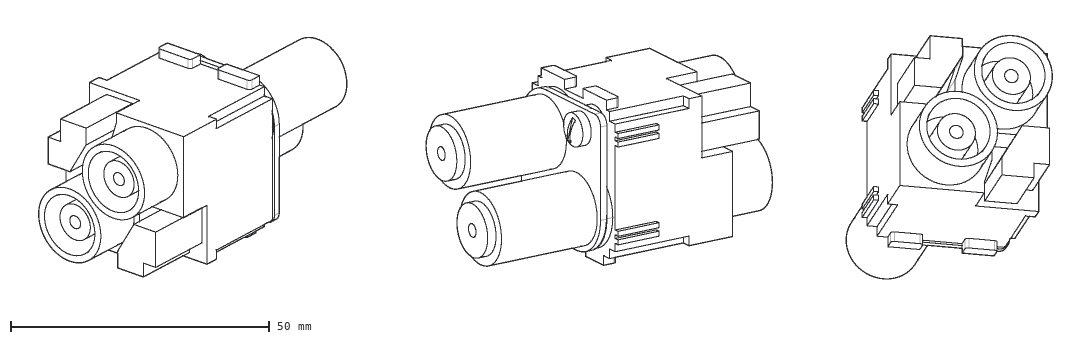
import cadquery as cq


KEY_FRONT = 3.15
BODY_FRONT = 10.15
RECESS_FLOOR = 17.3
NOTCH_FRONT = 20.2
RIB_FRONT = 27.75
TAB_FRONT = 34.2
BODY_BACK = 37.25
PLATE_FRONT = 38.7
PLATE_BACK = 40.2
TUBE_BACK = 62.3
LENGTH = 64.2

BODY_WIDTH = 29.35
BODY_HEIGHT = 30.05
TOTAL_WIDTH = 30.3
TOTAL_HEIGHT = 34.0
RIB_HEIGHT = TOTAL_WIDTH - BODY_WIDTH
TAB_HEIGHT = (TOTAL_HEIGHT - BODY_HEIGHT) / 2
NOTCH_SIZE = 2.0

RIB_WIDTH = 1.0
RIB_CENTERS = (9.1, 10.85)

TAB_CENTER = 7.4
TOP_TAB_WIDTH = 8.3
BOTTOM_TAB_WIDTH = 6.35
TAB_FILLET = 0.65

POLE_X = 5.45
POLE_Z = 6.3
SOCKET_RADIUS = 7.8
SOCKET_BORE_RADIUS = 6.3
PIN_RADIUS = 3.8
PIN_HOLE_RADIUS = 1.35
PIN_FRONT = 1.7
SOCKET_FLOOR = BODY_FRONT
TUBE_RADIUS = 7.4
TUBE_END_RADIUS = 5.45

PLATE_POLE_RADIUS = 8.55
PLATE_CORNER_RADIUS = 2.05
POLE_SPACER_RADIUS = 8.35
SCREW_X = 7.3
SCREW_Z = 10.65
SCREW_SPACER_RADIUS = 4.2
SCREW_RADIUS = 3.4
SCREW_RIM_HEIGHT = 1.9
SCREW_DOME_HEIGHT = 0.95
SLOT_WIDTH = 1.0
SLOT_DEPTH = 0.6
SLOT_ANGLE = 18

RECESS_TOP_X = -2.1
RECESS_SIDE_X = -3.65
RECESS_BOTTOM_Z = 2.4
RECESS_OUTLINE = [
    (-BODY_WIDTH / 2, BODY_HEIGHT / 2),
    (RECESS_TOP_X, BODY_HEIGHT / 2),
    (RECESS_TOP_X, 12.85),
    (RECESS_SIDE_X, 7.95),
    (RECESS_SIDE_X, RECESS_BOTTOM_Z),
    (-BODY_WIDTH / 2, RECESS_BOTTOM_Z),
]

KEY_LEFT = -13.4
KEY_STEP_X = -10.35
KEY_RIGHT = -3.9
KEY_TOP = 13.8
KEY_BOTTOM = 3.2
KEY_SLOPE_X = -7.95
KEY_SLOPE_Z = 10.2
UPPER_KEY_STEP_Z = 9.0
LOWER_KEY_STEP_Z = 10.8


def section(y):
    """Sketch plane facing -Y at station y; its local axes are X and Z."""
    return cq.Workplane("XZ", origin=(0, y, 0))


def cylinder(x, z, radius, y_start, y_end):
    return section(y_start).center(x, z).circle(radius).extrude(y_start - y_end)


def prism(outline, y_start, y_end):
    return section(y_start).polyline(outline).close().extrude(y_start - y_end)


def box(x_range, y_range, z_range):
    size = [end - start for start, end in (x_range, y_range, z_range)]
    corner = (x_range[0], y_range[0], z_range[0])
    return cq.Workplane("XY").box(*size, centered=False).translate(corner)


def turned(shape):
    """The shape turned half round the Y axis."""
    return shape.rotate((0, 0, 0), (0, 1, 0), 180)


def half_turn(shape):
    """The shape together with its copy turned half round the Y axis."""
    return shape.union(turned(shape))


def body():
    block = section(BODY_FRONT).rect(BODY_WIDTH, BODY_HEIGHT).extrude(BODY_FRONT - BODY_BACK)
    notches = (
        section(NOTCH_FRONT)
        .rect(BODY_WIDTH, BODY_HEIGHT, forConstruction=True)
        .vertices()
        .rect(2 * NOTCH_SIZE, 2 * NOTCH_SIZE)
        .extrude(NOTCH_FRONT - BODY_BACK)
    )
    recess = prism(RECESS_OUTLINE, BODY_FRONT, RECESS_FLOOR)
    return block.cut(notches).cut(half_turn(recess))


def coding_key(step_z):
    outline = [
        (KEY_STEP_X, KEY_TOP),
        (KEY_RIGHT, KEY_TOP),
        (KEY_RIGHT, KEY_SLOPE_Z),
        (KEY_SLOPE_X, KEY_BOTTOM),
        (KEY_LEFT, KEY_BOTTOM),
        (KEY_LEFT, step_z),
        (KEY_STEP_X, step_z),
    ]
    return prism(outline, KEY_FRONT, RECESS_FLOOR)


def coding_keys():
    return coding_key(UPPER_KEY_STEP_Z).union(turned(coding_key(LOWER_KEY_STEP_Z)))


def guide_ribs():
    side = -BODY_WIDTH / 2
    ribs = cq.Workplane("XY")
    for center in RIB_CENTERS:
        for z in (center, -center):
            ribs = ribs.union(
                box(
                    (side - RIB_HEIGHT, side),
                    (RIB_FRONT, BODY_BACK),
                    (z - RIB_WIDTH / 2, z + RIB_WIDTH / 2),
                )
            )
    return ribs


def tab_pair(width, z_range):
    tabs = cq.Workplane("XY")
    for x in (-TAB_CENTER, TAB_CENTER):
        tab = box((x - width / 2, x + width / 2), (TAB_FRONT, BODY_BACK), z_range)
        tabs = tabs.union(tab.faces("<Y").edges("|Z").fillet(TAB_FILLET))
    return tabs


def latch_tabs():
    half = BODY_HEIGHT / 2
    top = tab_pair(TOP_TAB_WIDTH, (half, half + TAB_HEIGHT))
    bottom = tab_pair(BOTTOM_TAB_WIDTH, (-half - TAB_HEIGHT, -half))
    return top.union(bottom)


def pole_cylinders(radius, y_start, y_end):
    return half_turn(cylinder(POLE_X, POLE_Z, radius, y_start, y_end))


def poles():
    sockets = pole_cylinders(SOCKET_RADIUS, 0, BODY_FRONT)
    tubes = pole_cylinders(TUBE_RADIUS, BODY_BACK, TUBE_BACK)
    tube_ends = pole_cylinders(TUBE_END_RADIUS, TUBE_BACK, LENGTH)
    return sockets.union(tubes).union(tube_ends)


def socket_bores():
    bores = pole_cylinders(SOCKET_BORE_RADIUS, 0, SOCKET_FLOOR)
    pins = pole_cylinders(PIN_RADIUS, PIN_FRONT, SOCKET_FLOOR)
    pin_holes = pole_cylinders(PIN_HOLE_RADIUS, 0, LENGTH)
    return bores.cut(pins).union(pin_holes)


def back_plate():
    """Plate rounded about the poles at two corners and more tightly at the screw corners."""
    right = POLE_X + PLATE_POLE_RADIUS
    top = POLE_Z + PLATE_POLE_RADIUS
    plate = section(PLATE_FRONT).rect(2 * right, 2 * top).extrude(PLATE_FRONT - PLATE_BACK)
    corner_radii = {
        (right, top): PLATE_POLE_RADIUS,
        (-right, -top): PLATE_POLE_RADIUS,
        (-right, top): PLATE_CORNER_RADIUS,
        (right, -top): PLATE_CORNER_RADIUS,
    }
    for (x, z), radius in corner_radii.items():
        corner = cq.selectors.NearestToPointSelector((x, PLATE_FRONT, z))
        plate = plate.edges("|Y").edges(corner).fillet(radius)
    return plate


def spacers():
    at_screws = half_turn(cylinder(-SCREW_X, SCREW_Z, SCREW_SPACER_RADIUS, BODY_BACK, PLATE_FRONT))
    return pole_cylinders(POLE_SPACER_RADIUS, BODY_BACK, PLATE_FRONT).union(at_screws)


def screw_heads():
    """Domed, slotted screw heads on the back plate."""
    rim = PLATE_BACK + SCREW_RIM_HEIGHT
    top = rim + SCREW_DOME_HEIGHT
    dome_radius = (SCREW_RADIUS**2 + SCREW_DOME_HEIGHT**2) / (2 * SCREW_DOME_HEIGHT)
    head = (
        cq.Workplane("XY")
        .moveTo(0, PLATE_BACK)
        .lineTo(SCREW_RADIUS, PLATE_BACK)
        .lineTo(SCREW_RADIUS, rim)
        .radiusArc((0, top), -dome_radius)
        .close()
        .revolve(360, (0, 0, 0), (0, 1, 0))
    )
    slot = (
        section(top - SLOT_DEPTH)
        .rect(SLOT_WIDTH, 2 * SCREW_RADIUS)
        .extrude(-SLOT_DEPTH)
        .rotate((0, 0, 0), (0, 1, 0), -SLOT_ANGLE)
    )
    return half_turn(head.cut(slot).translate((-SCREW_X, 0, SCREW_Z)))


result = (
    body()
    .union(coding_keys())
    .union(guide_ribs())
    .union(latch_tabs())
    .union(back_plate())
    .union(spacers())
    .union(screw_heads())
    .union(poles())
    .cut(socket_bores())
)